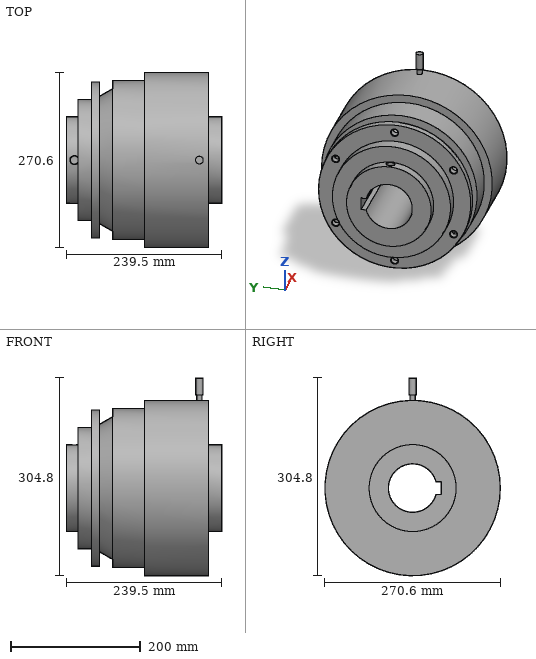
import cadquery as cq

length = 239.5
collar_start = 17.5
flange_start = 38.5
flange_end = 51.0
cone_end = 71.0
drum_start = 120.0
drum_end = 219.0

hub_radius = 67.0
collar_radius = 93.5
flange_radius = 120.7
cone_start_radius = 98.5
cone_end_radius = 110.0
shoulder_radius = 122.8
drum_radius = 135.3
bore_radius = 37.2

key_width = 19.2
key_depth_from_axis = 44.0

bolt_count = 6
bolt_circle_radius = 108.0
bolt_hole_diameter = 10.7
bolt_countersink = 1.0

set_screw_x = 12.2
set_screw_diameter = 12.5
set_screw_countersink = 1.0

pin_x = 204.8
overall_height = 304.8
pin_top = overall_height - drum_radius
pin_head_length = 26.0
pin_head_diameter = 12.0
pin_neck_diameter = 8.5
pin_embed = 6.0


def make_body():
    """Revolve the stepped half section about the X axis."""
    profile = [
        (0, 0),
        (0, hub_radius),
        (collar_start, hub_radius),
        (collar_start, collar_radius),
        (flange_start, collar_radius),
        (flange_start, flange_radius),
        (flange_end, flange_radius),
        (flange_end, cone_start_radius),
        (cone_end, cone_end_radius),
        (cone_end, shoulder_radius),
        (drum_start, shoulder_radius),
        (drum_start, drum_radius),
        (drum_end, drum_radius),
        (drum_end, hub_radius),
        (length, hub_radius),
        (length, 0),
    ]
    return cq.Workplane("XY").polyline(profile).close().revolve(360, (0, 0, 0), (1, 0, 0))


def make_keyed_bore():
    """Through bore joined with its keyway."""
    bore = cq.Workplane("YZ").circle(bore_radius).extrude(length)
    key = cq.Workplane("XY").box(length, key_depth_from_axis, key_width, centered=(False, False, True))
    return bore.union(key)


def make_countersunk_hole(diameter, depth, countersink):
    """Hole cutter from the origin down to -depth, with a 45 degree countersink at its mouth."""
    hole = cq.Workplane("XY").circle(diameter / 2).extrude(-depth)
    mouth = (
        cq.Workplane("XY")
        .circle(diameter / 2 + countersink)
        .workplane(offset=-countersink)
        .circle(diameter / 2)
        .loft(ruled=True)
    )
    return hole.union(mouth)


def make_bolt_holes():
    """Ring of holes through the flange, countersunk on its front face."""
    hole = (
        make_countersunk_hole(bolt_hole_diameter, flange_end - flange_start, bolt_countersink)
        .rotate((0, 0, 0), (0, 1, 0), -90)
        .translate((flange_start, 0, bolt_circle_radius))
    )
    ring = cq.Workplane("XY")
    for i in range(bolt_count):
        ring = ring.add(hole.rotate((0, 0, 0), (1, 0, 0), i * 360 / bolt_count))
    return ring.combine()


def make_set_screw_hole():
    """Vertical hole from the top of the hub down into the bore."""
    hole = make_countersunk_hole(set_screw_diameter, hub_radius, set_screw_countersink)
    return hole.translate((set_screw_x, 0, hub_radius))


def make_pin():
    """Thin neck rooted in the drum, carrying a thicker head."""
    root = drum_radius - pin_embed
    head_start = pin_top - pin_head_length
    neck = (
        cq.Workplane("XY", origin=(pin_x, 0, root))
        .circle(pin_neck_diameter / 2)
        .extrude(head_start - root)
    )
    head = (
        cq.Workplane("XY", origin=(pin_x, 0, head_start))
        .circle(pin_head_diameter / 2)
        .extrude(pin_head_length)
    )
    return neck.union(head)


result = (
    make_body()
    .cut(make_keyed_bore())
    .cut(make_bolt_holes())
    .cut(make_set_screw_hole())
    .union(make_pin())
)